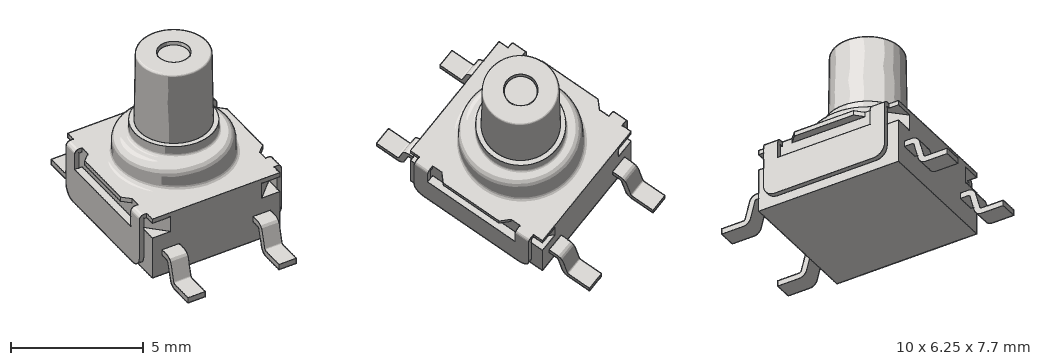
import cadquery as cq
import math


span_x = 10.0
span_y = 6.25
total_height = 7.7

base_x = 6.2
base_y = 5.6
base_bottom = 0.1
shoulder_z = 2.0
corner_cut = 0.8

sheet = 0.2
cover_top = 2.9
cover_bottom = cover_top - sheet
flap_width = 5.36
flap_bottom = 0.4
flap_corner_radius = 0.5
window_width = 4.1
window_bottom = 0.8
tab_width = 2.62
tab_root_width = 3.24

dome_radius = 2.35
dome_flare = 0.25
dome_shoulder_z = 3.55
dome_round = 0.45
collar_radius = 1.7
collar_top = 4.5
collar_fillet = 0.15
stem_bottom_radius = 1.5
stem_top_radius = 1.45
stem_edge_round = 0.1
dimple_radius = 0.65
dimple_floor_radius = 0.62
dimple_depth = 0.15

leg_thickness = 0.25
leg_width = 0.76
leg_pitch_y = 4.0
leg_exit_z = 1.03
leg_embed = 0.25
leg_lean = math.radians(15)
foot_bend_x = 3.88
inner_bend_radius = 0.1
outer_bend_radius = inner_bend_radius + leg_thickness


def block(size_x, size_y, bottom, top):
    """Box centred on the Z axis between two heights."""
    return cq.Workplane("XY").workplane(offset=bottom).rect(size_x, size_y).extrude(top - bottom)


def make_base():
    """Base with its four upper corners cut away, plus the bosses that fill the cover windows."""
    lower = block(base_x, base_y, base_bottom, shoulder_z)
    upper = block(base_x, base_y, shoulder_z, cover_bottom).edges("|Z").chamfer(corner_cut)
    bosses = block(window_width, span_y, window_bottom, shoulder_z)
    return lower.union(upper).union(bosses)


def make_cover():
    """Top plate with a tapered tab and a windowed flap folded down on the two Y sides."""
    plate = block(base_x, base_y, cover_bottom, cover_top)
    tabs = (
        cq.Workplane("XY")
        .workplane(offset=cover_bottom)
        .polyline([
            (-tab_width / 2, -span_y / 2),
            (tab_width / 2, -span_y / 2),
            (tab_root_width / 2, -base_y / 2),
            (tab_root_width / 2, base_y / 2),
            (tab_width / 2, span_y / 2),
            (-tab_width / 2, span_y / 2),
            (-tab_root_width / 2, base_y / 2),
            (-tab_root_width / 2, -base_y / 2),
        ])
        .close()
        .extrude(sheet)
    )
    folded = (
        block(flap_width, span_y, flap_bottom, cover_top)
        .edges("|X and >Z").fillet(sheet)
        .edges("|Y and <Z").fillet(flap_corner_radius)
    )
    inside = block(flap_width, span_y - 2 * sheet, flap_bottom, cover_bottom)
    windows = block(window_width, span_y, window_bottom, cover_top)
    flaps = folded.cut(inside).cut(windows)
    return plate.union(tabs).union(flaps)


def make_dome_and_stem():
    """Revolved rubber dome, collar and slightly tapered stem with a shallow dimple on top."""
    cos_45 = math.sqrt(0.5)
    flare_radius = dome_radius + dome_flare
    flare_top = cover_top + dome_flare
    dome_top = dome_shoulder_z + dome_round
    round_radius = dome_radius - dome_round
    fillet_radius = collar_radius + collar_fillet
    fillet_top = dome_top + collar_fillet
    body = (
        cq.Workplane("XZ")
        .moveTo(0, cover_bottom)
        .lineTo(flare_radius, cover_bottom)
        .lineTo(flare_radius, cover_top)
        .threePointArc(
            (flare_radius - dome_flare * cos_45, flare_top - dome_flare * cos_45),
            (dome_radius, flare_top),
        )
        .lineTo(dome_radius, dome_shoulder_z)
        .threePointArc(
            (round_radius + dome_round * cos_45, dome_shoulder_z + dome_round * cos_45),
            (round_radius, dome_top),
        )
        .lineTo(fillet_radius, dome_top)
        .threePointArc(
            (fillet_radius - collar_fillet * cos_45, fillet_top - collar_fillet * cos_45),
            (collar_radius, fillet_top),
        )
        .lineTo(collar_radius, collar_top)
        .lineTo(stem_bottom_radius, collar_top)
        .lineTo(stem_top_radius, total_height)
        .lineTo(0, total_height)
        .close()
        .revolve(360, (0, 0, 0), (0, 1, 0))
        .edges(">Z").fillet(stem_edge_round)
    )
    dimple = (
        cq.Workplane("XY")
        .workplane(offset=total_height)
        .circle(dimple_radius)
        .workplane(offset=-dimple_depth)
        .circle(dimple_floor_radius)
        .loft()
    )
    return body.cut(dimple)


def make_leg(y):
    """Gull-wing leg on the +X side, centred at the given Y."""
    half_miter = leg_thickness / 2 * math.tan((math.pi / 2 - leg_lean) / 2)
    exit_bend_x = foot_bend_x - leg_exit_z * math.tan(leg_lean)
    leg_top = leg_exit_z + leg_thickness
    root_x = base_x / 2 - leg_embed
    strip = (
        cq.Workplane("XZ", origin=(0, y, 0))
        .polyline([
            (root_x, leg_exit_z),
            (exit_bend_x - half_miter, leg_exit_z),
            (foot_bend_x - half_miter, 0),
            (span_x / 2, 0),
            (span_x / 2, leg_thickness),
            (foot_bend_x + half_miter, leg_thickness),
            (exit_bend_x + half_miter, leg_top),
            (root_x, leg_top),
        ])
        .close()
        .extrude(leg_width / 2, both=True)
    )

    def bend_edge(x, z):
        return cq.selectors.NearestToPointSelector((x, y, z))

    return (
        strip
        .edges(bend_edge(exit_bend_x - half_miter, leg_exit_z)).fillet(inner_bend_radius)
        .edges(bend_edge(foot_bend_x + half_miter, leg_thickness)).fillet(inner_bend_radius)
        .edges(bend_edge(foot_bend_x - half_miter, 0)).fillet(outer_bend_radius)
        .edges(bend_edge(exit_bend_x + half_miter, leg_top)).fillet(outer_bend_radius)
    )


result = make_base().union(make_cover()).union(make_dome_and_stem())
for leg_y in (-leg_pitch_y / 2, leg_pitch_y / 2):
    leg = make_leg(leg_y)
    result = result.union(leg).union(leg.mirror("YZ"))